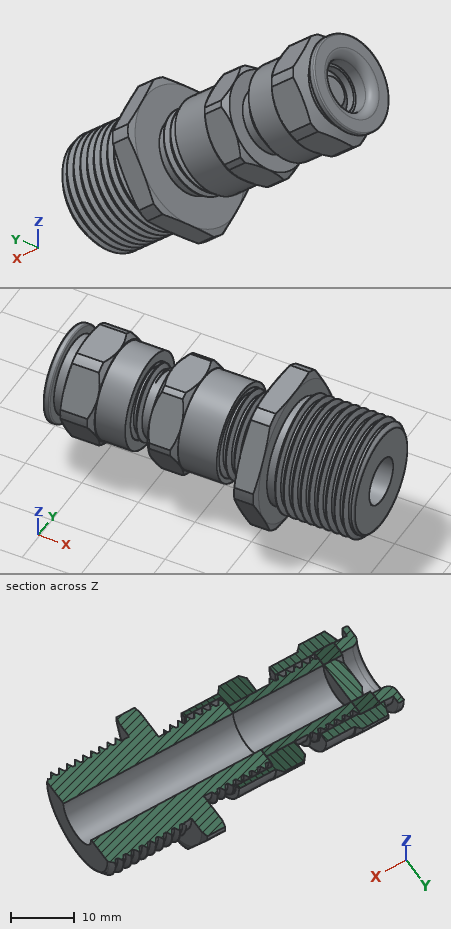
import cadquery as cq
import math


flange_end = 1.1
back_nut_start = 2.75
seal_start = 3.6
seal_end = 7.2
back_nut_hex_end = 9.2
back_nut_end = 14.5
sleeve_thread_end = 16.25
front_nut_start = 18.55
front_nut_hex_end = 23.95
front_nut_end = 30.75
body_thread_end = 34.75
flats_start = 36.05
flats_end = 40.0
entry_thread_start = 41.4
gland_length = 55.4

flange_diameter = 16.6
flange_edge_radius = 0.2
tube_diameter = 13.5
mouth_radius = 1.5
ferrule_bore = 9.0
passage_diameter = 8.05
plug_tip_start = 4.2
plug_tip_diameter = 5.25
plug_tip_length = 0.85

nut_flats = 17.0
back_nut_corners = 18.65
front_nut_corners = 19.0
body_flats = 24.0
body_corners = 26.5
back_nut_front_taper = 0.85
nut_corner_chamfer = 0.85
body_corner_chamfer = 0.3
back_nut_collar = 16.6
front_nut_skirt = 16.85

pitch = 1.5
crest_width = 0.1
ridge_base_width = 1.05
ridge_root_sink = 0.15
thread_clearance = 0.1
sleeve_root = 11.25
sleeve_crest = 12.95
body_root = 13.25
body_crest = 15.0
entry_root = 18.3
entry_crest = 20.0
entry_tip_diameter = 17.6

sleeve_crest_position = 15.95
body_crest_position = 32.3
entry_crest_position = 42.3


def turned(profile):
    """Solid of revolution about the X axis from (position, radius) points."""
    return cq.Workplane("XY").polyline(profile).close().revolve(360, (0, 0, 0), (1, 0, 0))


def rod(start, end, diameter):
    """Cylinder on the X axis between two stations."""
    return cq.Workplane("YZ", origin=(start, 0, 0)).circle(diameter / 2).extrude(end - start)


def hexagon(start, end, across_flats, corners, front, back):
    """Hexagonal prism with turned corners.

    front and back each give (face diameter, taper length) of the cone that bevels that end.
    """
    across_corners = across_flats / math.cos(math.pi / 6)
    prism = cq.Workplane("YZ", origin=(start, 0, 0)).polygon(6, across_corners).extrude(end - start)
    envelope = turned(
        [
            (start, 0),
            (start, front[0] / 2),
            (start + front[1], corners / 2),
            (end - back[1], corners / 2),
            (end, back[0] / 2),
            (end, 0),
        ]
    )
    return prism.intersect(envelope)


def thread_ridge(start, end, root, crest, crest_position):
    """Right-handed helical ridge, cut square at both ends, with its base sunk into the root."""
    turns_before = math.ceil((crest_position - start) / pitch) + 1
    helix_start = crest_position - turns_before * pitch
    helix_length = end - helix_start + pitch
    helix = cq.Wire.makeHelix(pitch, helix_length, root / 2)
    flank_slope = (ridge_base_width - crest_width) / (crest - root)
    sunk_width = ridge_base_width + 2 * ridge_root_sink * flank_slope
    sunk_radius = root / 2 - ridge_root_sink
    ridge = (
        cq.Workplane("XZ")
        .polyline(
            [
                (sunk_radius, -sunk_width / 2),
                (crest / 2, -crest_width / 2),
                (crest / 2, crest_width / 2),
                (sunk_radius, sunk_width / 2),
            ]
        )
        .close()
        .sweep(cq.Workplane(helix), isFrenet=True)
        .rotate((0, 0, 0), (0, 1, 0), 90)
        .translate((helix_start, 0, 0))
    )
    return ridge.intersect(rod(start, end, crest + pitch))


def make_ferrule():
    """Flanged tube with a rounded mouth that presses on the seal."""
    flange = rod(0, flange_end, flange_diameter).faces("<X or >X").edges().fillet(flange_edge_radius)
    mouth = (
        cq.Workplane("XY")
        .moveTo(0, 0)
        .lineTo(0, ferrule_bore / 2 + mouth_radius)
        .radiusArc((mouth_radius, ferrule_bore / 2), -mouth_radius)
        .lineTo(mouth_radius, 0)
        .close()
        .revolve(360, (0, 0, 0), (1, 0, 0))
    )
    tube = rod(flange_end, seal_start, tube_diameter)
    return flange.union(tube).cut(rod(0, seal_start, ferrule_bore)).cut(mouth)


def make_back_nut():
    """Hexagon nut with a round collar, over the ferrule, the seal and the sleeve thread."""
    nut = hexagon(
        back_nut_start,
        back_nut_hex_end,
        nut_flats,
        back_nut_corners,
        (tube_diameter, back_nut_front_taper),
        (nut_flats, nut_corner_chamfer),
    )
    nut = nut.union(rod(back_nut_hex_end, back_nut_end, back_nut_collar))
    nut = nut.cut(rod(back_nut_start, seal_end, tube_diameter))
    return nut.cut(rod(seal_end, back_nut_end, sleeve_crest + thread_clearance))


def make_seal():
    """Plain ring squeezed between the ferrule and the sleeve."""
    return rod(seal_start, seal_end, tube_diameter).cut(rod(seal_start, seal_end, passage_diameter))


def make_plug():
    """Solid plug with a conical tip that closes the seal."""
    return turned(
        [
            (plug_tip_start, 0),
            (plug_tip_start, plug_tip_diameter / 2),
            (plug_tip_start + plug_tip_length, passage_diameter / 2),
            (seal_end, passage_diameter / 2),
            (seal_end, 0),
        ]
    )


def make_sleeve():
    """Tube with an external thread for the back nut."""
    sleeve = rod(seal_end, front_nut_hex_end, sleeve_root)
    sleeve = sleeve.union(
        thread_ridge(seal_end, sleeve_thread_end, sleeve_root, sleeve_crest, sleeve_crest_position)
    )
    return sleeve.cut(rod(seal_end, front_nut_hex_end, passage_diameter))


def make_front_nut():
    """Hexagon nut with a long skirt, over the sleeve and the rear thread of the body."""
    bevel = (nut_flats, nut_corner_chamfer)
    nut = hexagon(front_nut_start, front_nut_hex_end, nut_flats, front_nut_corners, bevel, bevel)
    nut = nut.union(rod(front_nut_hex_end, front_nut_end, front_nut_skirt))
    nut = nut.cut(rod(front_nut_start, front_nut_hex_end, sleeve_root))
    return nut.cut(rod(front_nut_hex_end, front_nut_end, body_crest + thread_clearance))


def entry_envelope():
    """Cylinder around the entry thread, bevelled at 45 degrees at its free end."""
    radius = entry_crest / 2 + pitch
    tip_radius = entry_tip_diameter / 2
    return turned(
        [
            (flats_end, 0),
            (flats_end, radius),
            (gland_length - (radius - tip_radius), radius),
            (gland_length, tip_radius),
            (gland_length, 0),
        ]
    )


def make_entry_body():
    """Body with a rear thread, a hexagon and a long entry thread with a bevelled end."""
    stem = rod(front_nut_hex_end, flats_start, body_root).union(
        thread_ridge(front_nut_hex_end, body_thread_end, body_root, body_crest, body_crest_position)
    )
    bevel = (body_flats, body_corner_chamfer)
    flats = hexagon(flats_start, flats_end, body_flats, body_corners, bevel, bevel)
    bevelled_core = rod(flats_end, gland_length, entry_root).intersect(entry_envelope())
    ridge = thread_ridge(
        entry_thread_start, gland_length, entry_root, entry_crest, entry_crest_position
    )
    entry = bevelled_core.union(ridge.intersect(entry_envelope()))
    body = stem.union(flats).union(entry)
    return body.cut(rod(front_nut_hex_end, gland_length, passage_diameter))


ferrule = make_ferrule()
back_nut = make_back_nut()
seal = make_seal()
plug = make_plug()
sleeve = make_sleeve()
front_nut = make_front_nut()
entry_body = make_entry_body()

bodies = [ferrule, back_nut, seal, plug, sleeve, front_nut, entry_body]
result = cq.Compound.makeCompound([body.solids().val() for body in bodies])